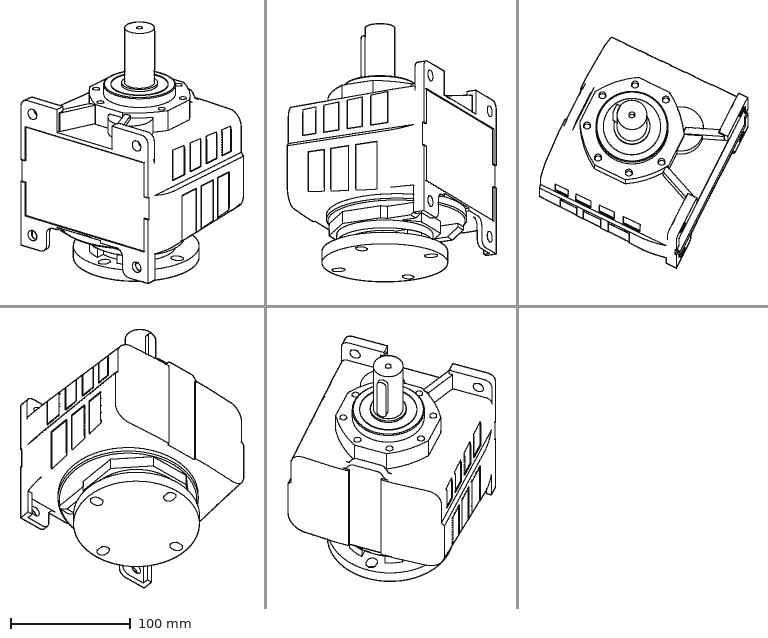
import cadquery as cq
import math

TOTAL_HEIGHT = 206.5
TOTAL_DEPTH = 130.0
OVERLAP = 2.0

HOUSING_BOTTOM = 40.5
HOUSING_TOP = 128.9
UPPER_HALF_WIDTH = 67.3
LOWER_HALF_WIDTH = 70.0
RIDGE_BOTTOM = 90.9
RIDGE_TOP = RIDGE_BOTTOM + LOWER_HALF_WIDTH - UPPER_HALF_WIDTH
REAR_Y = 55.1
REAR_EDGE_Y = 51.6
CROWN_HALF_WIDTH = 26.8
CROWN_SHOULDER_X = 55.3
CROWN_SHOULDER_Y = 53.5
NOSE_Y = -45.0
TOP_ROUND_FRONT = 5.4
TOP_ROUND_REAR = 12.8
BOTTOM_ROUND_FRONT = 0.5
BOTTOM_ROUND_REAR = 15.5
REAR_GROOVE_HALF_WIDTH = 14.5
REAR_GROOVE_DEPTH = 1.7

LUG_TOP = 135.7
LUG_FRONT_Y = 45.5
LUG_TOP_HALF_WIDTH = 10.7
LUG_BASE_HALF_WIDTH = 20.2

UPPER_RECESSES = [(26.2, 38.5), (5.0, 19.0), (-17.0, -2.9), (-40.9, -25.0)]
UPPER_RECESS_BOTTOM = 99.0
LOWER_RECESSES = [(17.0, 32.2), (-5.5, 11.0), (-32.2, -12.4)]
LOWER_RECESS_TOP = 82.8
RECESS_DEPTH = 0.8

FOOT_FACE_Y = REAR_Y - TOTAL_DEPTH
FOOT_THICKNESS = 9.7
FOOT_UPPER_THICKNESS = 8.5
FOOT_BOTTOM = 16.7
FOOT_TOP = 149.7
FOOT_SPLIT = 86.3
FOOT_CORNER = 6.8
FOOT_HOLE_X = 55.1
FOOT_HOLE_HEIGHTS = [28.5, 138.5]
FOOT_HOLE_DIAMETER = 9.0
TOP_CUTOUT_HALF_WIDTH = 29.1
BOTTOM_CUTOUT_HALF_WIDTH = 40.3
LEG_THICKNESS = 4.3
LEG_RIM_WIDTH = 4.5
BOTTOM_STEP_START_X = -29.0
BOTTOM_STEP_END_X = 16.7
BOTTOM_STEP_HEIGHT = 2.3
FACE_RELIEF_DEPTH = 1.2
FACE_RELIEF_HALF_WIDTH = 62.8
FACE_RELIEF_BOTTOM = 44.5
FACE_RELIEF_TOP = 125.1
FACE_BAND_BOTTOM = 74.5
FACE_BAND_TOP = 94.4

BOSS_HALF_WIDTH = 41.5
BOSS_FLAT_HALF_LENGTH = 14.5
BOSS_DIAGONAL_REACH = 42.0
BOSS_TOP = 146.8
BOSS_BOLT_CIRCLE_RADIUS = 37.5
BOSS_BOLT_COUNT = 8
BOSS_BOLT_DIAMETER = 5.8
BOSS_BOLT_DEPTH = 8.3
SKIPPED_BOLT_INDEX = 6
DISC_RADIUS = 30.1
DISC_TOP = 155.5
DISC_CHAMFER = 0.8
SEAL_RADIUS = 24.0
SEAL_RECESS = 0.6
COLLAR_RADIUS = 15.0
COLLAR_TOP = 156.7
SHAFT_RADIUS = 12.5
CENTER_HOLE_DIAMETER = 5.0
CENTER_HOLE_DEPTH = 10.3
KEY_WIDTH = 8.3
KEY_BOTTOM = 161.5
KEY_TOP = 201.8
KEY_OUTER_Y = 15.7
KEY_SEAT_Y = 8.3

RIB_FOOT_X = 31.4
RIB_FOOT_Y = -71.9
RIB_BOSS_X = 18.2
RIB_BOSS_Y = -39.6
RIB_WIDTH = 5.5
RIB_TOP = 145.5
SIDE_BOSS_X = 18.8
SIDE_BOSS_Y = -36.5
SIDE_BOSS_RADIUS = 18.8
SIDE_BOSS_TOP = 142.3

MOTOR_Y = -4.5
FLANGE_RADIUS = 52.7
FLANGE_TOP = 10.1
SLOT_COUNT = 4
SLOT_CENTER_RADIUS = 43.4
SLOT_WIDTH = 8.7
SLOT_LENGTH = 11.2
NECK_RADIUS = 33.0
NECK_TOP = 18.0
NECK_LUG_RADIUS = 40.9
NECK_LUG_HALF_WIDTH = 23.7
NECK_NOTCH_HALF_WIDTH = 10.3
RING_RADIUS = 40.3
RING_TOP = 24.8
BELL_SIDES = 8
BELL_APOTHEM = 43.2
BELL_TOP = 35.3
EAR_INNER_X = 29.3
EAR_OUTER_X = 39.0
EAR_REACH = 53.7
EAR_BASE_REACH = 43.8
EAR_LIP_BOTTOM = 32.2
PLATE_RADIUS = 58.6
PLATE_Y = -15.5
PLATE_CHAMFER = 1.2


def block(x_min, x_max, y_min, y_max, z_min, z_max):
    """Axis-aligned box given by its limits."""
    size = (x_max - x_min, y_max - y_min, z_max - z_min)
    return cq.Workplane("XY").box(*size, centered=False).translate((x_min, y_min, z_min))


def disc(radius, z_min, z_max, x=0.0, y=0.0):
    """Upright cylinder between two heights."""
    return cq.Workplane("XY", origin=(x, y, z_min)).circle(radius).extrude(z_max - z_min)


def housing_section(y, top_round, bottom_round):
    """Closed housing outline in the XZ plane at a given Y, rounded at its four corners."""
    top_mid = top_round * (1 - math.sqrt(0.5))
    bottom_mid = bottom_round * (1 - math.sqrt(0.5))
    return (
        cq.Workplane("XZ", origin=(0, y, 0))
        .moveTo(-LOWER_HALF_WIDTH + bottom_round, HOUSING_BOTTOM)
        .lineTo(LOWER_HALF_WIDTH - bottom_round, HOUSING_BOTTOM)
        .threePointArc(
            (LOWER_HALF_WIDTH - bottom_mid, HOUSING_BOTTOM + bottom_mid),
            (LOWER_HALF_WIDTH, HOUSING_BOTTOM + bottom_round),
        )
        .lineTo(LOWER_HALF_WIDTH, RIDGE_BOTTOM)
        .lineTo(UPPER_HALF_WIDTH, RIDGE_TOP)
        .lineTo(UPPER_HALF_WIDTH, HOUSING_TOP - top_round)
        .threePointArc(
            (UPPER_HALF_WIDTH - top_mid, HOUSING_TOP - top_mid),
            (UPPER_HALF_WIDTH - top_round, HOUSING_TOP),
        )
        .lineTo(-UPPER_HALF_WIDTH + top_round, HOUSING_TOP)
        .threePointArc(
            (-UPPER_HALF_WIDTH + top_mid, HOUSING_TOP - top_mid),
            (-UPPER_HALF_WIDTH, HOUSING_TOP - top_round),
        )
        .lineTo(-UPPER_HALF_WIDTH, RIDGE_TOP)
        .lineTo(-LOWER_HALF_WIDTH, RIDGE_BOTTOM)
        .lineTo(-LOWER_HALF_WIDTH, HOUSING_BOTTOM + bottom_round)
        .threePointArc(
            (-LOWER_HALF_WIDTH + bottom_mid, HOUSING_BOTTOM + bottom_mid),
            (-LOWER_HALF_WIDTH + bottom_round, HOUSING_BOTTOM),
        )
        .close()
    )


def housing_plan():
    """Housing seen from above: sides curve in toward the foot, rear face is crowned."""
    foot_y = FOOT_FACE_Y + FOOT_THICKNESS
    inside_foot_y = FOOT_FACE_Y + FOOT_UPPER_THICKNESS / 2
    bulge = ((UPPER_HALF_WIDTH + 2 * LOWER_HALF_WIDTH) / 3, (foot_y + NOSE_Y) / 2)
    return (
        cq.Workplane("XY", origin=(0, 0, HOUSING_BOTTOM))
        .moveTo(UPPER_HALF_WIDTH, inside_foot_y)
        .lineTo(UPPER_HALF_WIDTH, foot_y)
        .threePointArc(bulge, (LOWER_HALF_WIDTH, NOSE_Y))
        .lineTo(LOWER_HALF_WIDTH, REAR_EDGE_Y)
        .lineTo(CROWN_SHOULDER_X, CROWN_SHOULDER_Y)
        .lineTo(CROWN_HALF_WIDTH, REAR_Y)
        .lineTo(-CROWN_HALF_WIDTH, REAR_Y)
        .lineTo(-CROWN_SHOULDER_X, CROWN_SHOULDER_Y)
        .lineTo(-LOWER_HALF_WIDTH, REAR_EDGE_Y)
        .lineTo(-LOWER_HALF_WIDTH, NOSE_Y)
        .threePointArc((-bulge[0], bulge[1]), (-UPPER_HALF_WIDTH, foot_y))
        .lineTo(-UPPER_HALF_WIDTH, inside_foot_y)
        .close()
        .extrude(HOUSING_TOP - HOUSING_BOTTOM)
    )


def cut_side_recesses(housing, floor_x, y_min, y_max, z_min, z_max):
    """Cut one shallow recess into each side, its flat floor at the given X distance."""
    recess = block(floor_x, LOWER_HALF_WIDTH, y_min, y_max, z_min, z_max)
    return housing.cut(recess).cut(recess.mirror("YZ"))


def make_housing():
    """Tapered body with a flat-sided nose toward the foot, side recesses and a rear groove."""
    front = housing_section(NOSE_Y, TOP_ROUND_FRONT, BOTTOM_ROUND_FRONT)
    rear = housing_section(REAR_Y, TOP_ROUND_REAR, BOTTOM_ROUND_REAR)
    tapered = cq.Workplane(cq.Solid.makeLoft([front.wires().val(), rear.wires().val()], True))
    nose = front.extrude(NOSE_Y - FOOT_FACE_Y)
    housing = tapered.union(nose).intersect(housing_plan())

    for y_min, y_max in UPPER_RECESSES:
        floor_x = UPPER_HALF_WIDTH - RECESS_DEPTH
        housing = cut_side_recesses(housing, floor_x, y_min, y_max, UPPER_RECESS_BOTTOM, HOUSING_TOP)
    for y_min, y_max in LOWER_RECESSES:
        floor_x = LOWER_HALF_WIDTH - RECESS_DEPTH
        housing = cut_side_recesses(housing, floor_x, y_min, y_max, HOUSING_BOTTOM, LOWER_RECESS_TOP)

    groove = REAR_GROOVE_HALF_WIDTH
    groove_y = REAR_Y - REAR_GROOVE_DEPTH
    housing = housing.cut(block(-groove, groove, groove_y, REAR_Y, HOUSING_BOTTOM, HOUSING_TOP))
    return housing


def make_lug():
    """Lug at the rear edge of the housing top, its flanks sweeping up in S-curves."""
    mid_x = (LUG_TOP_HALF_WIDTH + LUG_BASE_HALF_WIDTH) / 2
    rear_y = REAR_Y - REAR_GROOVE_DEPTH
    return (
        cq.Workplane("XZ", origin=(0, rear_y, 0))
        .moveTo(-LUG_BASE_HALF_WIDTH, HOUSING_TOP)
        .spline([(-mid_x, (HOUSING_TOP + LUG_TOP) / 2), (-LUG_TOP_HALF_WIDTH, LUG_TOP)],
                tangents=[(1, 0), (1, 0)], includeCurrent=True)
        .lineTo(LUG_TOP_HALF_WIDTH, LUG_TOP)
        .spline([(mid_x, (HOUSING_TOP + LUG_TOP) / 2), (LUG_BASE_HALF_WIDTH, HOUSING_TOP)],
                tangents=[(1, 0), (1, 0)], includeCurrent=True)
        .lineTo(LUG_BASE_HALF_WIDTH, HOUSING_TOP - OVERLAP)
        .lineTo(-LUG_BASE_HALF_WIDTH, HOUSING_TOP - OVERLAP)
        .close()
        .extrude(rear_y - LUG_FRONT_Y)
    )


def make_foot():
    """Upright mounting plate with a cutout at the top and bottom and thinned lower legs."""
    half = UPPER_HALF_WIDTH
    back_y = FOOT_FACE_Y + FOOT_THICKNESS
    upper_back_y = FOOT_FACE_Y + FOOT_UPPER_THICKNESS
    foot = block(-half, half, FOOT_FACE_Y, back_y, FOOT_BOTTOM, FOOT_SPLIT)
    upper = block(-half, half, FOOT_FACE_Y, upper_back_y, FOOT_SPLIT, FOOT_TOP)
    foot = foot.union(upper.edges("|Y and >Z").fillet(FOOT_CORNER))

    top_half = TOP_CUTOUT_HALF_WIDTH
    foot = foot.cut(block(-top_half, top_half, FOOT_FACE_Y, back_y, HOUSING_TOP, FOOT_TOP))

    low_half = BOTTOM_CUTOUT_HALF_WIDTH
    low_cut = block(-low_half, low_half, FOOT_FACE_Y, back_y, FOOT_BOTTOM, HOUSING_BOTTOM)
    foot = foot.cut(low_cut.edges("|Y and >Z").fillet(FOOT_CORNER))
    toes = cq.selectors.BoxSelector(
        (-low_half - OVERLAP, FOOT_FACE_Y - OVERLAP, FOOT_BOTTOM - OVERLAP),
        (low_half + OVERLAP, back_y + OVERLAP, FOOT_BOTTOM + OVERLAP),
    )
    foot = foot.edges("|Y").edges(toes).fillet(FOOT_CORNER)

    rim_x = half - LEG_RIM_WIDTH
    leg_back_y = FOOT_FACE_Y + LEG_THICKNESS
    return foot.cut(block(-rim_x, rim_x, leg_back_y, back_y, FOOT_BOTTOM, HOUSING_BOTTOM))


def cut_foot_details(body):
    """Bottom step, shallow face relief and the four mounting holes."""
    face = FOOT_FACE_Y
    step_top = HOUSING_BOTTOM + BOTTOM_STEP_HEIGHT
    back_y = face + FOOT_THICKNESS
    body = body.cut(block(BOTTOM_STEP_START_X, BOTTOM_STEP_END_X, face, back_y, HOUSING_BOTTOM, step_top))

    relief_y = face + FACE_RELIEF_DEPTH
    panel = FACE_RELIEF_HALF_WIDTH
    body = body.cut(block(-panel, panel, face, relief_y, FACE_RELIEF_BOTTOM, FACE_RELIEF_TOP))
    band = UPPER_HALF_WIDTH
    body = body.cut(block(-band, band, face, relief_y, FACE_BAND_BOTTOM, FACE_BAND_TOP))

    positions = [(x, z) for x in (-FOOT_HOLE_X, FOOT_HOLE_X) for z in FOOT_HOLE_HEIGHTS]
    holes = (
        cq.Workplane("XZ", origin=(0, face, 0))
        .pushPoints(positions)
        .circle(FOOT_HOLE_DIAMETER / 2)
        .extrude(-FOOT_THICKNESS)
    )
    return body.cut(holes)


def make_bearing_boss():
    """Square boss with large rounded corners and a ring of bolt holes."""
    half = BOSS_HALF_WIDTH
    flat = BOSS_FLAT_HALF_LENGTH
    mid = BOSS_DIAGONAL_REACH * math.sqrt(0.5)
    boss = (
        cq.Workplane("XY", origin=(0, 0, HOUSING_TOP - OVERLAP))
        .moveTo(half, -flat)
        .lineTo(half, flat)
        .threePointArc((mid, mid), (flat, half))
        .lineTo(-flat, half)
        .threePointArc((-mid, mid), (-half, flat))
        .lineTo(-half, -flat)
        .threePointArc((-mid, -mid), (-flat, -half))
        .lineTo(flat, -half)
        .threePointArc((mid, -mid), (half, -flat))
        .close()
        .extrude(BOSS_TOP - HOUSING_TOP + OVERLAP)
    )
    for index in range(BOSS_BOLT_COUNT):
        if index == SKIPPED_BOLT_INDEX:
            continue
        angle = 2 * math.pi * (index + 0.5) / BOSS_BOLT_COUNT
        x = BOSS_BOLT_CIRCLE_RADIUS * math.cos(angle)
        y = BOSS_BOLT_CIRCLE_RADIUS * math.sin(angle)
        boss = boss.cut(disc(BOSS_BOLT_DIAMETER / 2, BOSS_TOP - BOSS_BOLT_DEPTH, BOSS_TOP, x, y))
    return boss


def make_output_shaft():
    """Bearing cover disc, collar, keyed shaft and its centre hole."""
    cover = disc(DISC_RADIUS, BOSS_TOP, DISC_TOP).faces(">Z").chamfer(DISC_CHAMFER)
    cover = cover.cut(disc(SEAL_RADIUS, DISC_TOP - SEAL_RECESS, DISC_TOP))
    collar = disc(COLLAR_RADIUS, BOSS_TOP, COLLAR_TOP)
    shaft = disc(SHAFT_RADIUS, BOSS_TOP, TOTAL_HEIGHT)
    key = (
        cq.Workplane("XZ", origin=(0, KEY_OUTER_Y, (KEY_BOTTOM + KEY_TOP) / 2))
        .slot2D(KEY_TOP - KEY_BOTTOM, KEY_WIDTH, 90)
        .extrude(KEY_OUTER_Y - KEY_SEAT_Y)
    )
    center_hole = disc(CENTER_HOLE_DIAMETER / 2, TOTAL_HEIGHT - CENTER_HOLE_DEPTH, TOTAL_HEIGHT)
    return cover.union(collar).union(shaft).union(key).cut(center_hole)


def make_rib(side):
    """Slanted rib from the foot to the bearing boss."""
    run_x = RIB_FOOT_X - RIB_BOSS_X
    run_y = RIB_BOSS_Y - RIB_FOOT_Y
    half_width_x = RIB_WIDTH / 2 * math.hypot(run_x, run_y) / run_y
    return (
        cq.Workplane("XY", origin=(0, 0, HOUSING_TOP - OVERLAP))
        .polyline([
            (side * (RIB_FOOT_X + half_width_x), RIB_FOOT_Y),
            (side * (RIB_BOSS_X + half_width_x), RIB_BOSS_Y),
            (side * (RIB_BOSS_X - half_width_x), RIB_BOSS_Y),
            (side * (RIB_FOOT_X - half_width_x), RIB_FOOT_Y),
        ])
        .close()
        .extrude(RIB_TOP - HOUSING_TOP + OVERLAP)
    )


def make_flange():
    """Round motor flange with radial bolt slots."""
    flange = disc(FLANGE_RADIUS, 0, FLANGE_TOP, 0, MOTOR_Y)
    slots = (
        cq.Workplane("XY", origin=(0, MOTOR_Y, 0))
        .polarArray(SLOT_CENTER_RADIUS, 0, 360, SLOT_COUNT)
        .slot2D(SLOT_LENGTH, SLOT_WIDTH)
        .extrude(FLANGE_TOP)
    )
    return flange.cut(slots)


def make_neck():
    """Round neck with two wide lugs along Y, each notched for a flange bolt."""
    core = disc(NECK_RADIUS, FLANGE_TOP, NECK_TOP, 0, MOTOR_Y)
    lugs = disc(NECK_LUG_RADIUS, FLANGE_TOP, NECK_TOP, 0, MOTOR_Y)
    y_min = MOTOR_Y - NECK_LUG_RADIUS
    y_max = MOTOR_Y + NECK_LUG_RADIUS
    wide = NECK_LUG_HALF_WIDTH
    notch = NECK_NOTCH_HALF_WIDTH
    lugs = lugs.intersect(block(-wide, wide, y_min, y_max, FLANGE_TOP, NECK_TOP))
    lugs = lugs.cut(block(-notch, notch, y_min, y_max, FLANGE_TOP, NECK_TOP))
    return core.union(lugs)


def make_bell():
    """Ring, octagonal bell with two sloped ears toward the foot, and the round plate above it."""
    ring = disc(RING_RADIUS, NECK_TOP, RING_TOP, 0, MOTOR_Y)
    bell = (
        cq.Workplane("XY", origin=(0, MOTOR_Y, RING_TOP))
        .polygon(BELL_SIDES, 2 * BELL_APOTHEM, circumscribed=True)
        .extrude(BELL_TOP - RING_TOP)
    )
    ear = (
        cq.Workplane("YZ", origin=(EAR_INNER_X, MOTOR_Y, 0))
        .polyline([
            (0, RING_TOP),
            (-EAR_BASE_REACH, RING_TOP),
            (-EAR_REACH, EAR_LIP_BOTTOM),
            (-EAR_REACH, BELL_TOP),
            (0, BELL_TOP),
        ])
        .close()
        .extrude(EAR_OUTER_X - EAR_INNER_X)
    )
    plate_top = HOUSING_BOTTOM + BOTTOM_STEP_HEIGHT
    plate = disc(PLATE_RADIUS, BELL_TOP, plate_top, 0, PLATE_Y)
    plate = plate.faces("<Z").chamfer(PLATE_CHAMFER)
    return ring.union(bell).union(ear).union(ear.mirror("YZ")).union(plate)


body = make_housing().union(make_lug()).union(make_foot())
body = cut_foot_details(body)
body = body.union(make_bearing_boss()).union(make_rib(-1)).union(make_rib(1))
body = body.union(disc(SIDE_BOSS_RADIUS, HOUSING_TOP - OVERLAP, SIDE_BOSS_TOP, SIDE_BOSS_X, SIDE_BOSS_Y))
body = body.union(make_output_shaft())
result = body.union(make_bell()).union(make_neck()).union(make_flange())